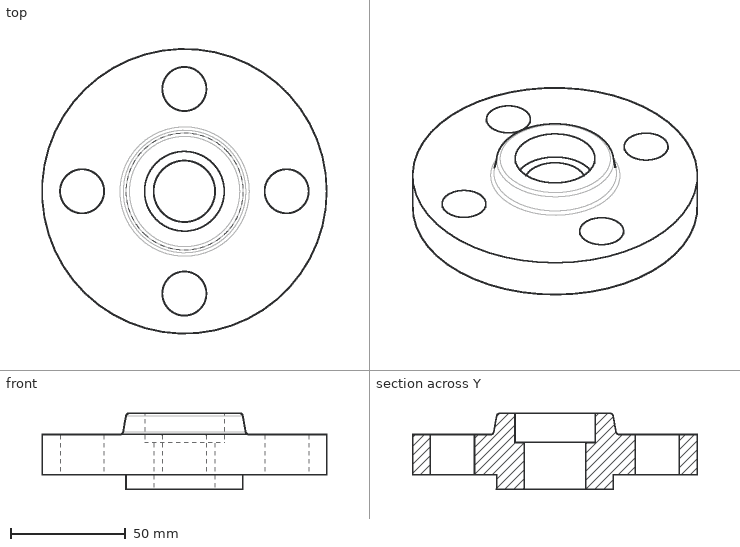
import cadquery as cq
import math

flange_diameter = 123.9
flange_thickness = 17.6

raised_face_diameter = 50.9
raised_face_height = 6.3

hub_base_diameter = 53.8
hub_height = 9.3
hub_taper = 10.0
hub_fillet = 1.5

socket_diameter = 34.7
socket_depth = 12.8
bore_diameter = 26.6

bolt_hole_count = 4
bolt_hole_diameter = 19.1
bolt_circle_diameter = 89.0

top_level = flange_thickness + hub_height
bottom_level = -raised_face_height
hub_base_radius = hub_base_diameter / 2
hub_top_radius = hub_base_radius - hub_height * math.tan(math.radians(hub_taper))


def cylinder(diameter, bottom, top):
    """Upright cylinder on the Z axis between two levels."""
    return cq.Workplane("XY", origin=(0, 0, bottom)).circle(diameter / 2).extrude(top - bottom)


def flange_with_hub():
    """Flange disc and tapered hub, revolved as one profile and rounded where they meet."""
    flange_radius = flange_diameter / 2
    profile = (
        cq.Workplane("XZ")
        .lineTo(flange_radius, 0)
        .lineTo(flange_radius, flange_thickness)
        .lineTo(hub_base_radius, flange_thickness)
        .lineTo(hub_top_radius, top_level)
        .lineTo(0, top_level)
        .close()
    )
    blank = profile.revolve(360, (0, 0, 0), (0, 1, 0))
    return blank.faces("%CONE").edges("%CIRCLE").fillet(hub_fillet)


def bolt_holes():
    """Cylinders that cut the bolt holes through the flange."""
    return (
        cq.Workplane("XY")
        .polarArray(bolt_circle_diameter / 2, 0, 360, bolt_hole_count)
        .circle(bolt_hole_diameter / 2)
        .extrude(flange_thickness)
    )


raised_face = cylinder(raised_face_diameter, bottom_level, 0)
socket = cylinder(socket_diameter, top_level - socket_depth, top_level)
bore = cylinder(bore_diameter, bottom_level, top_level)

result = flange_with_hub().union(raised_face).cut(socket).cut(bore).cut(bolt_holes())